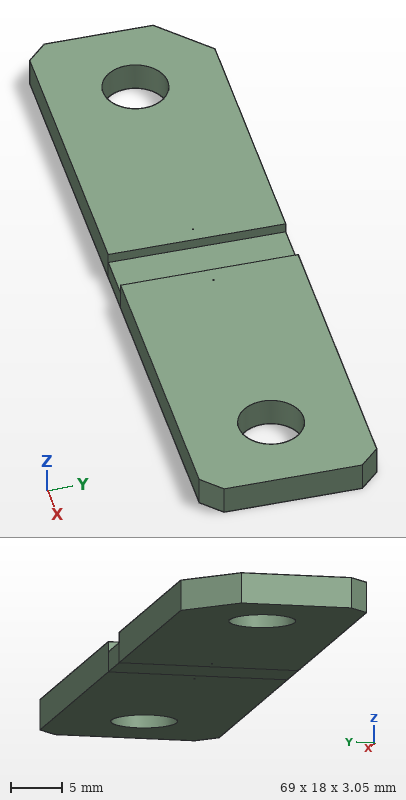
import cadquery as cq

length = 69.0
width = 18.0
terminal_thickness = 3.05

strip_length = 4.75
strip_thickness = 2.0

corner_chamfer = 2.0
marked_corner_chamfer = 5.0
bolt_hole_diameter = 6.55
bolt_hole_x = 26.0
sense_hole_diameter = 0.105
sense_hole_x = 3.9

terminal_length = (length - strip_length) / 2
terminal_center_x = (strip_length + terminal_length) / 2


def through_hole(x, diameter):
    """Vertical cylinder on the long centre line, as tall as a terminal."""
    return cq.Workplane("XY").center(x, 0).circle(diameter / 2).extrude(terminal_thickness)


def make_terminal(side, back_chamfer):
    """Terminal plate at the -X end (side = -1) or the +X end (side = 1)."""
    outer_face = ">X" if side > 0 else "<X"
    plate = (
        cq.Workplane("XY")
        .center(side * terminal_center_x, 0)
        .rect(terminal_length, width)
        .extrude(terminal_thickness)
    )
    plate = plate.faces(outer_face).edges("|Z and <Y").chamfer(corner_chamfer)
    plate = plate.faces(outer_face).edges("|Z and >Y").chamfer(back_chamfer)
    plate = plate.cut(through_hole(side * bolt_hole_x, bolt_hole_diameter))
    return plate.cut(through_hole(side * sense_hole_x, sense_hole_diameter))


def make_strip():
    """Plain rectangular strip filling the gap between the terminals."""
    return cq.Workplane("XY").rect(strip_length, width).extrude(strip_thickness)


terminals = [
    make_terminal(side, back_chamfer)
    for side, back_chamfer in ((-1, marked_corner_chamfer), (1, corner_chamfer))
]
strip = make_strip()

result = cq.Compound.makeCompound([*(terminal.solids().val() for terminal in terminals), strip.val()])